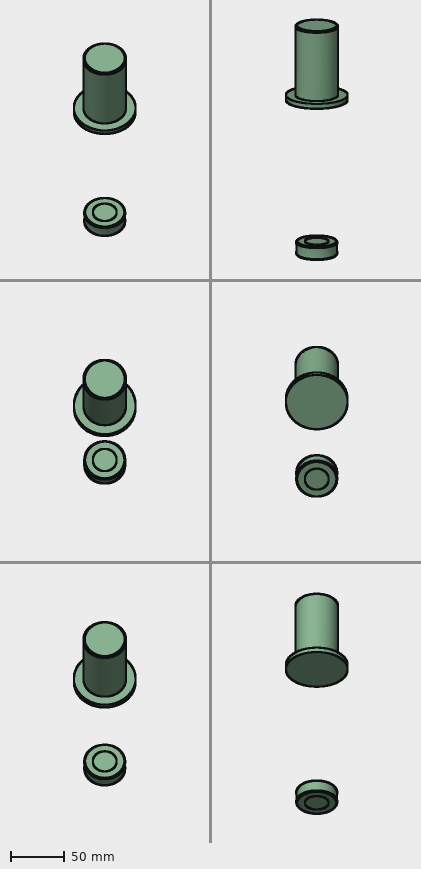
import cadquery as cq

total_height = 224.0

flange_diameter = 58.0
flange_thickness = 5.0
pin_diameter = 40.0
pin_height = 73.0
pin_chamfer = 1.3

disc_diameter = 38.5
disc_height = 13.0
waist_depth = 0.2
rim_bevel_height = 1.1
rim_bevel_inset = 1.0
dish_depth = 0.2
pad_diameter = 22.5


def make_flanged_pin():
    """Solid pin standing on a round flange, with its top rim chamfered."""
    flange_bottom = total_height - pin_height
    flange = (
        cq.Workplane("XY")
        .workplane(offset=flange_bottom)
        .circle(flange_diameter / 2)
        .extrude(flange_thickness)
    )
    shaft = (
        cq.Workplane("XY")
        .workplane(offset=flange_bottom)
        .circle(pin_diameter / 2)
        .extrude(pin_height)
        .faces(">Z")
        .chamfer(pin_chamfer)
    )
    return flange.union(shaft)


def make_disc():
    """Revolved disc with a slightly waisted side, bevelled rims and a level pad in each dished end."""
    radius = disc_diameter / 2
    rim_radius = radius - rim_bevel_inset
    pad_radius = pad_diameter / 2
    middle = disc_height / 2
    return (
        cq.Workplane("XZ")
        .moveTo(0, 0)
        .lineTo(pad_radius, 0)
        .lineTo(pad_radius, dish_depth)
        .lineTo(rim_radius, 0)
        .lineTo(radius, rim_bevel_height)
        .threePointArc((radius - waist_depth, middle), (radius, disc_height - rim_bevel_height))
        .lineTo(rim_radius, disc_height)
        .lineTo(pad_radius, disc_height - dish_depth)
        .lineTo(pad_radius, disc_height)
        .lineTo(0, disc_height)
        .close()
        .revolve(360, (0, 0, 0), (0, 1, 0))
    )


flanged_pin = make_flanged_pin()
disc = make_disc()

result = cq.Compound.makeCompound([flanged_pin.val(), disc.val()])